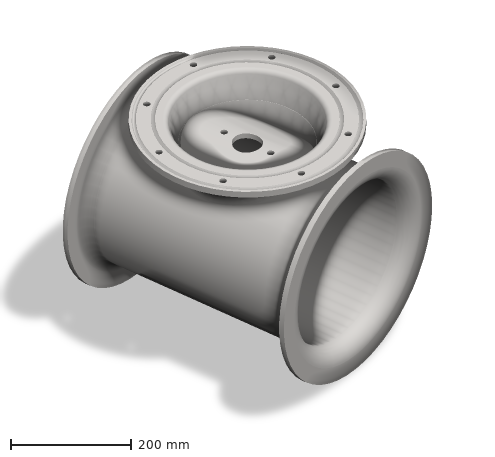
import cadquery as cq
import math

length = 456.0
pipe_bore_radius = 300.0 / 2
pipe_outer_radius = 320.0 / 2
end_flange_radius = 419.0 / 2
bell_mouth_radius = 30.0
end_flange_thickness = pipe_outer_radius - pipe_bore_radius
bend_center_x = length / 2 - bell_mouth_radius
bend_center_radius = pipe_bore_radius + bell_mouth_radius

branch_top = end_flange_radius
branch_flange_radius = 396.0 / 2
branch_flange_thickness = 12.0
branch_wall = 10.0
cone_angle = math.radians(20.0)
mouth_rounding = 10.0
mouth_radius = 141.0
neck_fillet = 20.0
saddle_fillet = 12.0
bore_step_width = 0.5
bore_step_height = pipe_outer_radius

groove_center_radii = (157.5, 189.5)
groove_width = 7.0
groove_section_radius = 4.0

bolt_count = 8
bolt_circle_radius = 345.0 / 2
small_hole_diameter = 12.5

port_diameter = 52.0
side_hole_offset = 48.0

rounding_center_height = branch_top - mouth_rounding
cone_top_radius = mouth_radius - mouth_rounding * math.cos(cone_angle)
cone_top_height = rounding_center_height + mouth_rounding * math.sin(cone_angle)


def bore_cone_radius(height):
    return cone_top_radius - (cone_top_height - height) * math.tan(cone_angle)


def outer_cone_radius(height):
    return bore_cone_radius(height) + branch_wall / math.cos(cone_angle)


def arc_midpoint(center, radius, start_angle, end_angle):
    """Point halfway along an arc."""
    angle = (start_angle + end_angle) / 2
    return (center[0] + radius * math.cos(angle), center[1] + radius * math.sin(angle))


def make_trumpet(radius):
    """Round bar along X that flares at both ends about the shared bend center."""
    bend_radius = bend_center_radius - radius
    end = bend_center_x + bend_radius
    middle_x, middle_radius = arc_midpoint(
        (bend_center_x, bend_center_radius), bend_radius, -math.pi / 2, 0
    )
    return (
        cq.Workplane("XY")
        .moveTo(-end, 0)
        .lineTo(-end, bend_center_radius)
        .threePointArc((-middle_x, middle_radius), (-bend_center_x, radius))
        .lineTo(bend_center_x, radius)
        .threePointArc((middle_x, middle_radius), (end, bend_center_radius))
        .lineTo(end, 0)
        .close()
        .revolve(360, (0, 0), (1, 0))
    )


def make_pipe_body():
    """Solid body of the pipe with both end flanges, the bore not yet cut."""
    body = make_trumpet(pipe_outer_radius)
    for flange_start in (-length / 2, length / 2 - end_flange_thickness):
        flange = (
            cq.Workplane("YZ", origin=(flange_start, 0, 0))
            .circle(end_flange_radius)
            .extrude(end_flange_thickness)
        )
        body = body.union(flange)
    return body


def make_pipe_bore():
    """Pipe bore with a bell mouth at each end."""
    return make_trumpet(pipe_bore_radius)


def make_branch_body():
    """Solid branch: cone, neck fillet and flange, starting at the pipe axis."""
    flange_underside = branch_top - branch_flange_thickness
    fillet_center_height = flange_underside - neck_fillet
    neck_height = fillet_center_height + neck_fillet * math.sin(cone_angle)
    neck_radius = outer_cone_radius(neck_height)
    fillet_center = (neck_radius + neck_fillet * math.cos(cone_angle), fillet_center_height)
    fillet_middle = arc_midpoint(fillet_center, neck_fillet, math.pi - cone_angle, math.pi / 2)
    return (
        cq.Workplane("XZ")
        .lineTo(outer_cone_radius(0), 0)
        .lineTo(neck_radius, neck_height)
        .threePointArc(fillet_middle, (fillet_center[0], flange_underside))
        .lineTo(branch_flange_radius, flange_underside)
        .lineTo(branch_flange_radius, branch_top)
        .lineTo(0, branch_top)
        .close()
        .revolve(360, (0, 0), (0, 1))
    )


def make_branch_bore():
    """Tapered, stepped bore with a rounded mouth, ending on the outside of the pipe."""
    step_radius = bore_cone_radius(bore_step_height)
    rounding_center = (mouth_radius, rounding_center_height)
    rounding_middle = arc_midpoint(rounding_center, mouth_rounding, math.pi - cone_angle, math.pi / 2)
    bore = (
        cq.Workplane("XZ")
        .lineTo(bore_cone_radius(0) - bore_step_width, 0)
        .lineTo(step_radius - bore_step_width, bore_step_height)
        .lineTo(step_radius, bore_step_height)
        .lineTo(cone_top_radius, cone_top_height)
        .threePointArc(rounding_middle, (mouth_radius, branch_top))
        .lineTo(0, branch_top)
        .close()
        .revolve(360, (0, 0), (0, 1))
    )
    pipe_outside = cq.Workplane("YZ").circle(pipe_outer_radius).extrude(length / 2, both=True)
    return bore.cut(pipe_outside)


def make_groove(center_radius):
    """Ring whose lowest part forms a shallow groove in the branch flange."""
    section_center_height = branch_top + math.sqrt(groove_section_radius**2 - (groove_width / 2) ** 2)
    ring = cq.Solid.makeTorus(center_radius, groove_section_radius, cq.Vector(0, 0, section_center_height))
    return cq.Workplane(ring)


def make_bolt_holes():
    return (
        cq.Workplane("XY", origin=(0, 0, branch_top))
        .polarArray(bolt_circle_radius, 180 / bolt_count, 360, bolt_count)
        .circle(small_hole_diameter / 2)
        .extrude(-branch_flange_thickness)
    )


def make_wall_holes():
    """Round port and two small holes through the top of the pipe wall."""
    port = cq.Workplane("XY").circle(port_diameter / 2).extrude(pipe_outer_radius)
    side_holes = (
        cq.Workplane("XY")
        .pushPoints([(-side_hole_offset, 0), (side_hole_offset, 0)])
        .circle(small_hole_diameter / 2)
        .extrude(pipe_outer_radius)
    )
    return port.union(side_holes)


def fillet_saddle(body):
    """Round the joint between the branch cone and the pipe."""
    selection_margin = 1.0
    joint_reach = outer_cone_radius(pipe_outer_radius) + saddle_fillet
    joint_zone = cq.selectors.BoxSelector(
        (-joint_reach, -joint_reach, selection_margin),
        (joint_reach, joint_reach, pipe_outer_radius + selection_margin),
        boundingbox=True,
    )
    return body.edges(joint_zone).fillet(saddle_fillet)


body = fillet_saddle(make_pipe_body().union(make_branch_body()))
body = body.cut(make_branch_bore()).cut(make_pipe_bore())
for groove_radius in groove_center_radii:
    body = body.cut(make_groove(groove_radius))
result = body.cut(make_bolt_holes()).cut(make_wall_holes())